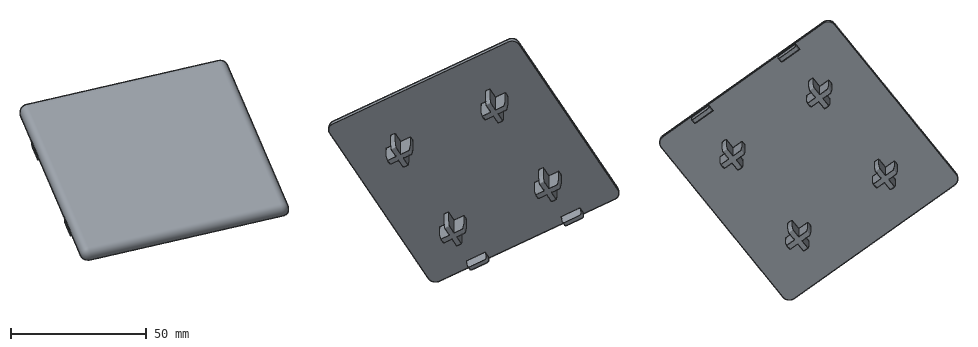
import cadquery as cq

plate_side = 80.0
plate_thickness = 4.0
edge_radius = 3.0

peg_spacing = 40.0
peg_length = 8.5
peg_diameter = 10.4
peg_tip_diameter = 9.4
peg_tip_length = 3.0
peg_tip_rounding = 0.5
blade_thickness = 2.0

tab_width = 8.0
tab_height = 3.0
tab_root_depth = 2.7
tab_tip_depth = 1.6
tab_corner_radius = 1.0
tab_setback = 0.3


def make_plate():
    """Square plate with equally rounded vertical and top edges."""
    plate = cq.Workplane("XY").box(plate_side, plate_side, plate_thickness, centered=(True, True, False))
    plate = plate.edges("|Z").fillet(edge_radius)
    return plate.faces(">Z").edges().fillet(edge_radius)


def make_peg():
    """Two crossed blades trimmed to a cylinder that tapers to a rounded tip."""
    radius = peg_diameter / 2
    tip_radius = peg_tip_diameter / 2
    envelope = (
        cq.Workplane("XZ")
        .lineTo(radius, 0)
        .lineTo(radius, peg_tip_length - peg_length)
        .lineTo(tip_radius, -peg_length)
        .lineTo(0, -peg_length)
        .close()
        .revolve(360, (0, 0, 0), (0, 1, 0))
        .faces("<Z")
        .edges()
        .fillet(peg_tip_rounding)
    )
    blade = cq.Workplane("XY").rect(peg_diameter, blade_thickness).extrude(-peg_length)
    cross = blade.union(blade.rotate((0, 0, 0), (0, 0, 1), 90))
    return cross.intersect(envelope)


def make_tab():
    """Tab with an upright outer face, a sloped inner face and rounded lower corners."""
    outer_y = tab_setback - plate_side / 2
    tab = (
        cq.Workplane("YZ")
        .moveTo(outer_y, 0)
        .lineTo(outer_y + tab_root_depth, 0)
        .lineTo(outer_y + tab_tip_depth, -tab_height)
        .lineTo(outer_y, -tab_height)
        .close()
        .extrude(tab_width / 2, both=True)
    )
    outline = (
        cq.Workplane("XY")
        .box(tab_width, plate_side, tab_height, centered=(True, True, False))
        .translate((0, 0, -tab_height))
        .faces("<Z")
        .edges("|Y")
        .fillet(tab_corner_radius)
    )
    return tab.intersect(outline)


result = make_plate()
peg = make_peg()
tab = make_tab()
for x in (-peg_spacing / 2, peg_spacing / 2):
    result = result.union(tab.translate((x, 0, 0)))
    for y in (-peg_spacing / 2, peg_spacing / 2):
        result = result.union(peg.translate((x, y, 0)))